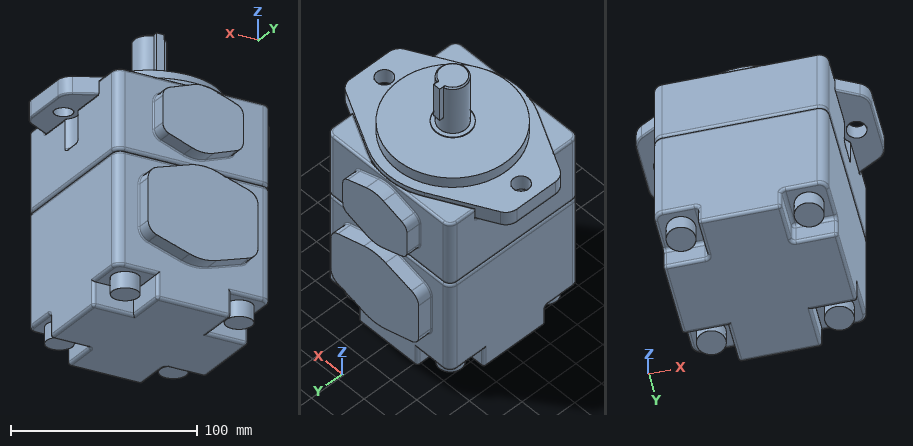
import cadquery as cq
import math

total_height = 178.5
pilot_top = 141.9
flange_top = 134.4
flange_bottom = 123.9
body_top = 132.1
joint_height = 83.5

body_width = 96.4
half_body = body_width / 2
body_corner_radius = 5.4
bottom_edge_radius = 1.8
top_edge_radius = 1.5
joint_edge_radius = 2.0

notch_width = 25.2
notch_height = 14.6
notch_inner_radius = 2.1
bolt_spacing = 70.7
bolt_head_radius = 8.0
bolt_head_bottom = 4.8

flange_shape = dict(half_length=65.0, half_width=47.5, corner_radius=8.7, slope=27.6)
flange_hole_spacing = 106.4
flange_hole_diameter = 11.0
flange_edge_radius = 0.9
pocket_lip_radius = 0.9

relief_radius = 8.7
relief_bottom = 104.2
relief_edge_radius = 2.1

pilot_radius = 41.2
collar_radius = 12.1
collar_height = 0.5
shaft_radius = 9.5
shaft_chamfer = 0.9
key_width = 4.8
key_reach = 12.0
key_length = 25.0

port_depth = 9.6
port_root_radius = 0.7
upper_port_height = 108.5
upper_port_shape = dict(half_length=25.0, half_width=20.0, corner_radius=6.0, slope=19.5)
lower_port_height = 52.7
lower_port_shape = dict(half_length=34.1, half_width=27.8, corner_radius=7.9, slope=17.5)

overrun = 17.8
slab = 0.2


def lobed_outline(plane, half_length, half_width, corner_radius, slope):
    """Closed outline: round middle, straight flanks and flat ends with rounded corners."""
    tilt = math.radians(slope)
    middle_x = half_width * math.sin(tilt)
    middle_y = half_width * math.cos(tilt)
    center_x = half_length - corner_radius
    center_y = (half_width - corner_radius - center_x * math.sin(tilt)) / math.cos(tilt)
    flank_angle = math.pi / 2 - tilt

    def corner(angle, side_x, side_y):
        x = center_x + corner_radius * math.cos(angle)
        y = center_y + corner_radius * math.sin(angle)
        return side_x * x, side_y * y

    outline = plane.moveTo(-middle_x, middle_y)
    for side in (1, -1):
        outline = (
            outline.threePointArc((0, side * half_width), (side * middle_x, side * middle_y))
            .lineTo(*corner(flank_angle, side, side))
            .threePointArc(corner(flank_angle / 2, side, side), corner(0, side, side))
            .lineTo(*corner(0, side, -side))
            .threePointArc(corner(flank_angle / 2, side, -side), corner(flank_angle, side, -side))
            .lineTo(side * middle_x, -side * middle_y)
        )
    return outline.close()


def prism(size_x, size_y, bottom, top):
    """Box centred on the shaft axis between two heights."""
    base = cq.Workplane("XY").workplane(offset=bottom)
    return base.rect(size_x, size_y).extrude(top - bottom)


def cylinder(radius, bottom, top):
    """Cylinder on the shaft axis between two heights."""
    return cq.Workplane("XY").workplane(offset=bottom).circle(radius).extrude(top - bottom)


def side_slab(side_x, side_y, bottom, top):
    """Selector for edges lying in one side face between two heights."""
    reach_x = slab if side_x else half_body + slab
    reach_y = slab if side_y else half_body + slab
    x = side_x * half_body
    y = side_y * half_body
    return cq.selectors.BoxSelector(
        (x - reach_x, y - reach_y, bottom - slab),
        (x + reach_x, y + reach_y, top + slab),
        boundingbox=True,
    )


def corner_notch(side_x, side_y):
    """Cutter for one bottom corner; only the -Y notches have rounded inner edges."""
    size = notch_width + overrun
    cutter = prism(size, size, -overrun, notch_height)
    if side_y < 0:
        inner_face = "<X" if side_x > 0 else ">X"
        inner_edges = f"({inner_face} and >Y) or ({inner_face} and >Z) or (>Y and >Z)"
        cutter = cutter.edges(inner_edges).fillet(notch_inner_radius)
    middle = half_body - notch_width + size / 2
    return cutter.translate((side_x * middle, side_y * middle, 0))


def lower_block():
    body = prism(body_width, body_width, 0, joint_height)
    body = body.edges("|Z").fillet(body_corner_radius)
    body = body.faces(">Z").edges().fillet(joint_edge_radius)
    for side_x in (-1, 1):
        for side_y in (-1, 1):
            body = body.cut(corner_notch(side_x, side_y))

    rounded = body.faces("<Z").edges()
    for side_x, side_y in ((1, 0), (-1, 0), (0, 1), (0, -1)):
        rounded = rounded.add(body.edges(side_slab(side_x, side_y, 0, notch_height)))
    return rounded.fillet(bottom_edge_radius)


def flange_plate(top):
    """Flange body with a rounded bottom edge, from its underside up to a given height."""
    outline = lobed_outline(cq.Workplane("XY").workplane(offset=flange_bottom), **flange_shape)
    return outline.extrude(top - flange_bottom).faces("<Z").edges().fillet(flange_edge_radius)


def pocketed_slab():
    """Slab with the flange pocket and its rounded lip; longer in Y than the finished body."""
    block = prism(body_width, body_width + 2 * overrun, joint_height, body_top)
    block = block.cut(flange_plate(body_top + overrun))
    lip = block.faces(">Z").edges("not(|X or |Y)")
    for side_x in (-1, 1):
        lip = lip.add(block.edges(side_slab(side_x, 0, flange_bottom, body_top)))
    return lip.fillet(pocket_lip_radius)


def upper_block():
    body = prism(body_width, body_width, joint_height, body_top)
    body = body.edges("|Z").fillet(body_corner_radius)
    body = body.faces("<Z").edges().fillet(joint_edge_radius)
    body = body.faces(">Z").edges().fillet(top_edge_radius)
    body = body.intersect(pocketed_slab())

    relief = cylinder(relief_radius, relief_bottom, flange_bottom)
    relief = relief.faces("<Z").edges().fillet(relief_edge_radius)
    for side_x in (-1, 1):
        body = body.cut(relief.translate((side_x * flange_hole_spacing / 2, 0, 0)))
    return body


def add_port(body, height, shape):
    """Add a port pad to the +Y face with a small fillet around its root."""
    face = cq.Plane(origin=(0, half_body, height), xDir=(1, 0, 0), normal=(0, 1, 0))
    body = body.union(lobed_outline(cq.Workplane(face), **shape).extrude(port_depth))
    root = cq.selectors.BoxSelector(
        (-shape["half_length"] - slab, half_body - slab, height - shape["half_width"] - slab),
        (shape["half_length"] + slab, half_body + slab, height + shape["half_width"] + slab),
        boundingbox=True,
    )
    return body.edges(root).fillet(port_root_radius)


def bolt_heads():
    return (
        cq.Workplane("XY")
        .workplane(offset=bolt_head_bottom)
        .rect(bolt_spacing, bolt_spacing, forConstruction=True)
        .vertices()
        .circle(bolt_head_radius)
        .extrude(notch_height - bolt_head_bottom)
    )


def flange():
    hole_places = [(-flange_hole_spacing / 2, 0), (flange_hole_spacing / 2, 0)]
    top_face = flange_plate(flange_top).faces(">Z").workplane(origin=(0, 0, flange_top))
    return top_face.pushPoints(hole_places).hole(flange_hole_diameter)


def shaft():
    bar = cylinder(shaft_radius, pilot_top, total_height).faces(">Z").chamfer(shaft_chamfer)
    key = (
        cq.Workplane("XY")
        .workplane(offset=total_height - key_length)
        .rect(key_width, key_reach, centered=(True, False))
        .extrude(key_length)
    )
    return bar.union(key)


result = (
    add_port(upper_block(), upper_port_height, upper_port_shape)
    .union(add_port(lower_block(), lower_port_height, lower_port_shape))
    .union(bolt_heads())
    .union(flange())
    .union(cylinder(pilot_radius, flange_top, pilot_top))
    .union(cylinder(collar_radius, pilot_top, pilot_top + collar_height))
    .union(shaft())
)